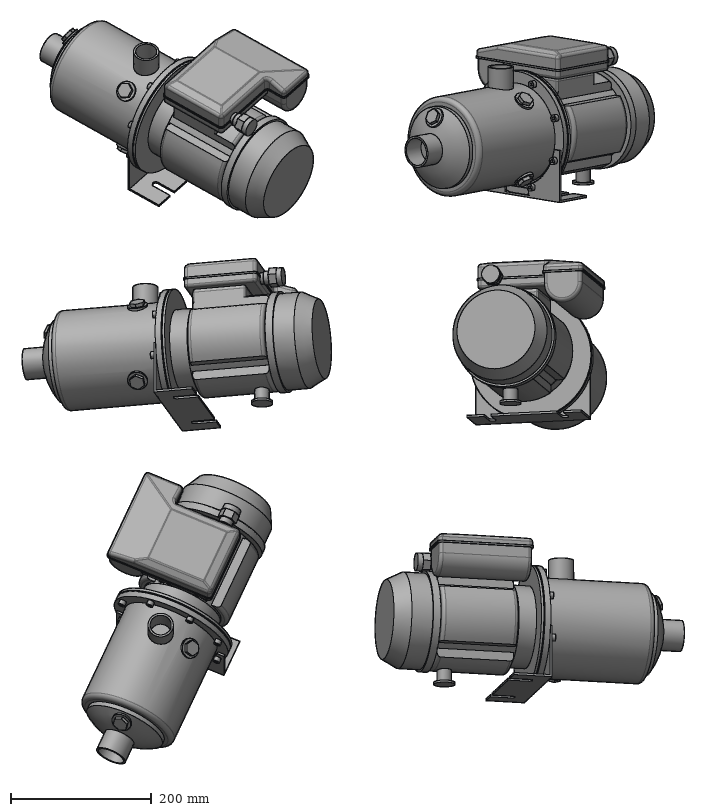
import cadquery as cq
import math


total_length = 433.0

inlet_diameter = 44.5
inlet_bore = 39.0
inlet_length = 30.5
dome_edge_x = 47.5
dome_edge_diameter = 118.0
barrel_start_x = 54.0
barrel_diameter = 143.0
barrel_edge_radius = 7.0
outlet_x = 175.0
outlet_diameter = 36.0
outlet_bore = 30.0
outlet_top_z = 100.0
outlet_bore_floor_z = 65.0

flange_diameter = 176.5
casing_flange_x = 211.5
joint_x = 220.0
motor_flange_end_x = 225.0
joint_groove_depth = 1.7
joint_groove_width = 1.5
bolt_count = 8
bolt_circle_radius = 80.0
bolt_head_diameter = 10.0
bolt_head_height = 6.5
bolt_socket_diameter = 4.5
bolt_socket_depth = 3.5

bracket_width = 166.7
bracket_top_z = -15.0
bracket_bottom_z = -90.0
sheet_thickness = 3.0
foot_end_x = 264.0
bracket_bore = 149.0
window_width = 46.0
window_top_z = -77.0
slot_width = 10.0
slot_length = 34.5
slot_edge_distance = 30.5

plug_collar_diameter = 28.5
plug_hex_corners = 22.5
plug_seat_depth = 6.5
plug_collar_height = 2.0
plug_head_height = 5.0
barrel_plug_tilt = 39.0
dome_plug_tilt = 27.0

adapter_diameter = 118.0
core_diameter = 118.5
core_start_x = 250.8
pad_start_x = 253.5
pad_end_x = 365.0
pad_radius = 69.7
pad_edge_radius = 5.0
side_pad_half_width = 40.0
top_pad_half_width = 37.0
fan_ring_x = 368.0
fan_ring_end_x = 379.0
fan_ring_diameter = 144.0
fan_cover_diameter = 137.7
fan_cone_x = 409.5
fan_end_diameter = 114.0
support_x = 345.5
support_stem_diameter = 21.0
support_base_diameter = 30.5
support_base_thickness = 3.0
neck_start_x = 253.0
neck_end_x = 331.0
neck_corner_radius = 2.5
neck_shoulder_z = 73.0
neck_taper_angle = 15.0

box_bottom_z = 78.0
box_split_z = 91.5
box_top_z = 117.0
box_start_x = 243.0
box_main_end_x = 349.5
box_wing_end_x = 381.0
box_front_y = -47.5
box_wing_y = 55.5
box_back_y = 113.5
box_edge_radius = 5.0
tray_edge_radius = 4.0
lip_height = 2.5
lip_overhang = 1.0
panel_start_x = 255.0
panel_end_x = 337.0
panel_front_y = -31.5
panel_back_y = 55.0
long_slope = 0.25
start_slope = 0.5
fan_slope = 0.35
hood_inset = 1.5
hood_front_y = 56.7
hood_bottom_z = 47.0
hood_edge_radius = 5.0

gland_y = -20.5
gland_z = 91.5
gland_collar_diameter = 20.0
gland_thread_diameter = 17.0
gland_root_depth = 4.5
gland_collar_x = 354.5
gland_nut_x = 362.5
gland_nut_corners = 27.7
gland_end_x = 382.0
gland_cap_diameter = 26.0
gland_cap_x = 374.0

barrel_radius = barrel_diameter / 2
dome_edge_radius = dome_edge_diameter / 2
inlet_radius = inlet_diameter / 2
dome_centre_x = (
    dome_edge_x**2 + dome_edge_radius**2 - inlet_length**2 - inlet_radius**2
) / (2 * (dome_edge_x - inlet_length))
dome_radius = math.hypot(dome_centre_x - inlet_length, inlet_radius)
plate_x = casing_flange_x - sheet_thickness


def rod(x_from, x_to, diameter, y=0, z=0):
    """Cylinder along X."""
    return (
        cq.Workplane("YZ", origin=(x_from, y, z))
        .circle(diameter / 2)
        .extrude(x_to - x_from)
    )


def block(x_from, x_to, y_from, y_to, z_from, z_to):
    """Box between opposite corners."""
    size = (x_to - x_from, y_to - y_from, z_to - z_from)
    return cq.Workplane("XY", origin=(x_from, y_from, z_from)).box(*size, centered=False)


def plug_planes():
    """Seat planes of the plugs: on the surface, Z direction pointing outwards."""
    planes = []
    tilt = math.radians(barrel_plug_tilt)
    for side in (1, -1):
        normal = cq.Vector(0, -math.sin(tilt), side * math.cos(tilt))
        origin = cq.Vector(outlet_x, 0, 0) + normal * barrel_radius
        planes.append(cq.Plane(origin, (1, 0, 0), normal))
    tilt = math.radians(dome_plug_tilt)
    normal = cq.Vector(-math.cos(tilt), 0, math.sin(tilt))
    origin = cq.Vector(dome_centre_x, 0, 0) + normal * dome_radius
    planes.append(cq.Plane(origin, (0, 1, 0), normal))
    return planes


def make_plug(plane):
    """Round collar let into the casing, with a hexagon head on it."""
    collar = (
        cq.Workplane(plane)
        .workplane(offset=-plug_seat_depth)
        .circle(plug_collar_diameter / 2)
        .extrude(plug_seat_depth + plug_collar_height)
    )
    head = (
        cq.Workplane(plane)
        .workplane(offset=plug_collar_height)
        .transformed(rotate=(0, 0, 30))
        .polygon(6, plug_hex_corners)
        .extrude(plug_head_height)
    )
    return collar.union(head)


def bolt_places():
    """(y, z, x of the seat) of each bolt; the low bolts sit on the bracket plate."""
    places = []
    for index in range(bolt_count):
        angle = 2 * math.pi * (index + 0.5) / bolt_count
        y = bolt_circle_radius * math.cos(angle)
        z = bolt_circle_radius * math.sin(angle)
        places.append((y, z, plate_x if z < bracket_top_z else casing_flange_x))
    return places


def make_casing():
    dome_mid_angle = (
        math.asin(inlet_radius / dome_radius) + math.asin(dome_edge_radius / dome_radius)
    ) / 2
    dome_mid = (
        dome_centre_x - dome_radius * math.cos(dome_mid_angle),
        dome_radius * math.sin(dome_mid_angle),
    )
    casing = (
        cq.Workplane("XY")
        .moveTo(0, 0)
        .lineTo(0, inlet_radius)
        .lineTo(inlet_length, inlet_radius)
        .threePointArc(dome_mid, (dome_edge_x, dome_edge_radius))
        .lineTo(barrel_start_x, dome_edge_radius)
        .lineTo(barrel_start_x, barrel_radius - barrel_edge_radius)
        .radiusArc((barrel_start_x + barrel_edge_radius, barrel_radius), barrel_edge_radius)
        .lineTo(casing_flange_x, barrel_radius)
        .lineTo(casing_flange_x, flange_diameter / 2)
        .lineTo(joint_x, flange_diameter / 2)
        .lineTo(joint_x, 0)
        .close()
        .revolve(360, (0, 0, 0), (1, 0, 0))
    )
    outlet = cq.Workplane("XY", origin=(outlet_x, 0, 0))
    casing = casing.union(outlet.circle(outlet_diameter / 2).extrude(outlet_top_z))
    casing = casing.cut(
        outlet.workplane(offset=outlet_bore_floor_z).circle(outlet_bore / 2).extrude(outlet_top_z)
    )
    casing = casing.cut(rod(0, inlet_length, inlet_bore))
    for y, z, seat_x in bolt_places():
        head_x = seat_x - bolt_head_height
        casing = casing.union(rod(head_x, casing_flange_x, bolt_head_diameter, y, z))
        casing = casing.cut(rod(head_x, head_x + bolt_socket_depth, bolt_socket_diameter, y, z))
    for plug in plugs:
        casing = casing.cut(plug)
    return casing


def make_bracket():
    half_width = bracket_width / 2
    foot_top_z = bracket_bottom_z + sheet_thickness
    plate = block(plate_x, casing_flange_x, -half_width, half_width, bracket_bottom_z, bracket_top_z)
    foot = block(plate_x, foot_end_x, -half_width, half_width, bracket_bottom_z, foot_top_z)
    bracket = plate.union(foot)
    bracket = bracket.cut(rod(plate_x, casing_flange_x, bracket_bore))
    bracket = bracket.cut(rod(casing_flange_x, motor_flange_end_x, flange_diameter))
    bracket = bracket.cut(
        block(plate_x, casing_flange_x, -window_width / 2, window_width / 2, foot_top_z, window_top_z)
    )
    for y, z, seat_x in bolt_places():
        if seat_x == plate_x:
            bracket = bracket.cut(rod(plate_x, casing_flange_x, bolt_head_diameter, y, z))
    for side in (1, -1):
        slot_y = side * (half_width - slot_edge_distance)
        slot = (
            cq.Workplane("XY", origin=(foot_end_x, slot_y, bracket_bottom_z))
            .slot2D(2 * slot_length, slot_width)
            .extrude(sheet_thickness)
        )
        bracket = bracket.cut(slot)
    return bracket


def make_frame():
    """Round core with four raised pads: one on each side, one above and one below."""
    shell = rod(pad_start_x, pad_end_x, 2 * pad_radius).edges().fillet(pad_edge_radius)
    side_pads = shell.intersect(
        block(pad_start_x, pad_end_x, -pad_radius, pad_radius, -side_pad_half_width, side_pad_half_width)
    )
    top_pads = shell.intersect(
        block(pad_start_x, pad_end_x, -top_pad_half_width, top_pad_half_width, -pad_radius, pad_radius)
    )
    core = rod(core_start_x, fan_ring_x, core_diameter)
    return core.union(side_pads).union(top_pads)


def make_neck():
    """Block that carries the terminal box, tapering slightly at its top."""
    neck = block(
        neck_start_x, neck_end_x, -top_pad_half_width, top_pad_half_width, 0, neck_shoulder_z
    )
    neck = neck.edges("|Z").fillet(neck_corner_radius)
    return (
        neck.faces(">Z").wires().toPending()
        .workplane()
        .extrude(box_bottom_z - neck_shoulder_z, taper=neck_taper_angle)
    )


def make_support():
    """Foot under the fan end of the motor."""
    base = cq.Workplane("XY", origin=(support_x, 0, bracket_bottom_z))
    return (
        base.circle(support_base_diameter / 2)
        .extrude(support_base_thickness)
        .union(base.circle(support_stem_diameter / 2).extrude(-bracket_bottom_z))
    )


def make_motor():
    fan_cover = (
        cq.Workplane("XY")
        .moveTo(fan_ring_x, 0)
        .lineTo(fan_ring_x, fan_ring_diameter / 2)
        .lineTo(fan_ring_end_x, fan_ring_diameter / 2)
        .lineTo(fan_ring_end_x, fan_cover_diameter / 2)
        .lineTo(fan_cone_x, fan_cover_diameter / 2)
        .lineTo(total_length, fan_end_diameter / 2)
        .lineTo(total_length, 0)
        .close()
        .revolve(360, (0, 0, 0), (1, 0, 0))
    )
    motor = rod(joint_x, motor_flange_end_x, flange_diameter)
    motor = motor.cut(
        rod(joint_x, joint_x + joint_groove_width, flange_diameter).cut(
            rod(joint_x, joint_x + joint_groove_width, flange_diameter - 2 * joint_groove_depth)
        )
    )
    motor = motor.union(rod(motor_flange_end_x, core_start_x, adapter_diameter))
    for piece in (make_frame(), make_neck(), make_support(), fan_cover):
        motor = motor.union(piece)
    return motor


def box_outline(z, margin=0):
    """L-shaped plan of the box at height z, grown by the margin."""
    return (
        cq.Workplane("XY", origin=(0, 0, z))
        .moveTo(box_start_x, box_front_y)
        .lineTo(box_main_end_x, box_front_y)
        .lineTo(box_main_end_x, box_wing_y)
        .lineTo(box_wing_end_x, box_wing_y)
        .lineTo(box_wing_end_x, box_back_y)
        .lineTo(box_start_x, box_back_y)
        .close()
        .offset2D(margin, "intersection")
    )


def slope_wedge(plane, origin, run, slope):
    """Long prism above a plane that falls away from the edge of the top panel."""
    return (
        cq.Workplane(plane, origin=origin)
        .polyline([(0, 0), (run, 0), (run, -abs(run) * slope)])
        .close()
        .extrude(total_length, both=True)
    )


def make_lid():
    """Upper half of the box: a flat panel with sloping faces down to rounded edges."""
    reach = box_back_y - box_front_y
    lid = box_outline(box_split_z).extrude(box_top_z - box_split_z)
    lid = lid.cut(slope_wedge("YZ", (0, panel_front_y, box_top_z), -reach, long_slope))
    lid = lid.cut(slope_wedge("YZ", (0, panel_back_y, box_top_z), reach, long_slope))
    lid = lid.cut(slope_wedge("XZ", (panel_start_x, 0, box_top_z), -reach, start_slope))
    lid = lid.cut(slope_wedge("XZ", (panel_end_x, 0, box_top_z), reach, fan_slope))
    return lid.edges("not(<Z)").fillet(box_edge_radius)


def make_hood():
    """Cable hood with a half-round underside, hanging from the wing of the box."""
    hood_start_x = box_start_x + hood_inset
    hood_end_x = box_wing_end_x - hood_inset
    hood_back_y = box_back_y - hood_inset
    radius = (hood_back_y - hood_front_y) / 2
    hood = (
        cq.Workplane("YZ", origin=(hood_start_x, 0, 0))
        .moveTo(hood_front_y, box_split_z)
        .lineTo(hood_front_y, hood_bottom_z + radius)
        .threePointArc(
            (hood_front_y + radius, hood_bottom_z), (hood_back_y, hood_bottom_z + radius)
        )
        .lineTo(hood_back_y, box_split_z)
        .close()
        .extrude(hood_end_x - hood_start_x)
    )
    rim = hood.faces("<X or >X").edges("not(>Z)")
    return rim.fillet(hood_edge_radius)


def make_gland():
    """Cable gland along X on the fan side of the box."""
    root_x = box_main_end_x - gland_root_depth
    gland = rod(root_x, gland_nut_x, gland_thread_diameter, gland_y, gland_z)
    gland = gland.union(
        rod(gland_collar_x, gland_nut_x, gland_collar_diameter, gland_y, gland_z)
    )
    nut = (
        cq.Workplane("YZ", origin=(gland_nut_x, gland_y, gland_z))
        .polygon(6, gland_nut_corners)
        .extrude(gland_cap_x - gland_nut_x)
    )
    cap = rod(gland_cap_x, gland_end_x, gland_cap_diameter, gland_y, gland_z)
    return gland.union(nut).union(cap)


def make_tray():
    """Lower half of the main box, running a little way into the hood."""
    tray = block(
        box_start_x,
        box_main_end_x,
        box_front_y,
        hood_front_y + box_edge_radius,
        box_bottom_z,
        box_split_z,
    )
    tray = tray.edges("|Z").fillet(box_edge_radius)
    return tray.faces("<Z").edges().fillet(tray_edge_radius)


def make_lip():
    """Thin rim around the joint between the two halves of the box."""
    lip = box_outline(box_split_z - lip_height / 2, lip_overhang).extrude(lip_height)
    return lip.edges("|Z").fillet(box_edge_radius)


def make_terminal_box():
    box = make_lid().union(make_lip())
    return box.union(make_tray()).union(make_hood()).union(make_gland())


plugs = [make_plug(plane) for plane in plug_planes()]
casing = make_casing()
bracket = make_bracket()
motor = make_motor()
terminal_box = make_terminal_box()

result = cq.Compound.makeCompound(
    [
        casing.val(),
        bracket.val(),
        motor.val(),
        terminal_box.val(),
        *[plug.val() for plug in plugs],
    ]
)